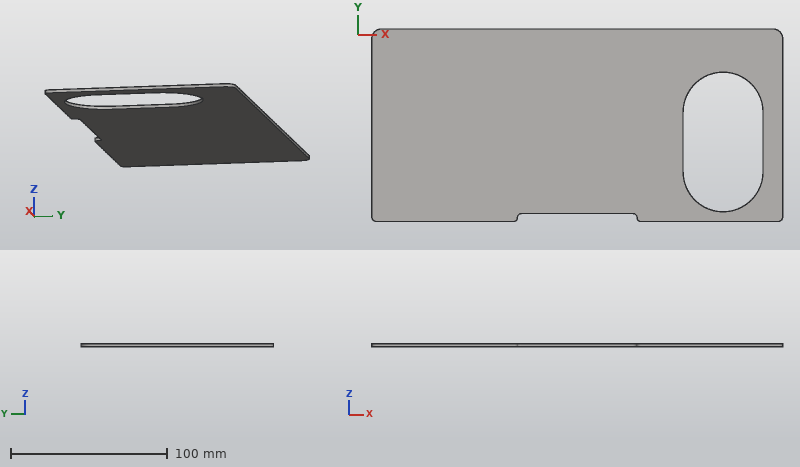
import cadquery as cq

INCH = 25.4

plate_length = 10.32 * INCH
plate_width = 4.84 * INCH
plate_thickness = 0.08 * INCH
rear_corner_radius = 0.25 * INCH
front_corner_radius = 0.125 * INCH

notch_width = 3.0 * INCH
notch_depth = 0.2 * INCH
notch_corner_radius = notch_depth / 2

opening_width = 2.0 * INCH
opening_length = 3.5 * INCH
opening_side_margin = 0.5 * INCH
opening_front_margin = 0.25 * INCH

front_edge_y = -plate_width / 2
right_edge_x = plate_length / 2


def make_plate():
    """Flat plate with larger corner radii at the rear than at the front."""
    plate = cq.Workplane("XY").box(
        plate_length, plate_width, plate_thickness, centered=(True, True, False)
    )
    plate = plate.edges("|Z and >Y").fillet(rear_corner_radius)
    return plate.edges("|Z and <Y").fillet(front_corner_radius)


def make_notch():
    """Notch cutter whose sides are S-curves: a convex mouth corner, then a concave inner one."""
    radius = notch_corner_radius
    half_width = notch_width / 2
    mouth_half_width = half_width + radius
    floor_half_width = half_width - radius
    mid_y = front_edge_y + radius
    floor_y = front_edge_y + notch_depth
    return (
        cq.Workplane("XY")
        .moveTo(-mouth_half_width, front_edge_y)
        .radiusArc((-half_width, mid_y), -radius)
        .radiusArc((-floor_half_width, floor_y), radius)
        .lineTo(floor_half_width, floor_y)
        .radiusArc((half_width, mid_y), radius)
        .radiusArc((mouth_half_width, front_edge_y), -radius)
        .close()
        .extrude(plate_thickness)
    )


def make_opening():
    """Round-ended opening through the full thickness."""
    center_x = right_edge_x - opening_side_margin - opening_width / 2
    center_y = front_edge_y + opening_front_margin + opening_length / 2
    return (
        cq.Workplane("XY")
        .center(center_x, center_y)
        .slot2D(opening_length, opening_width, angle=90)
        .extrude(plate_thickness)
    )


result = make_plate().cut(make_notch()).cut(make_opening())